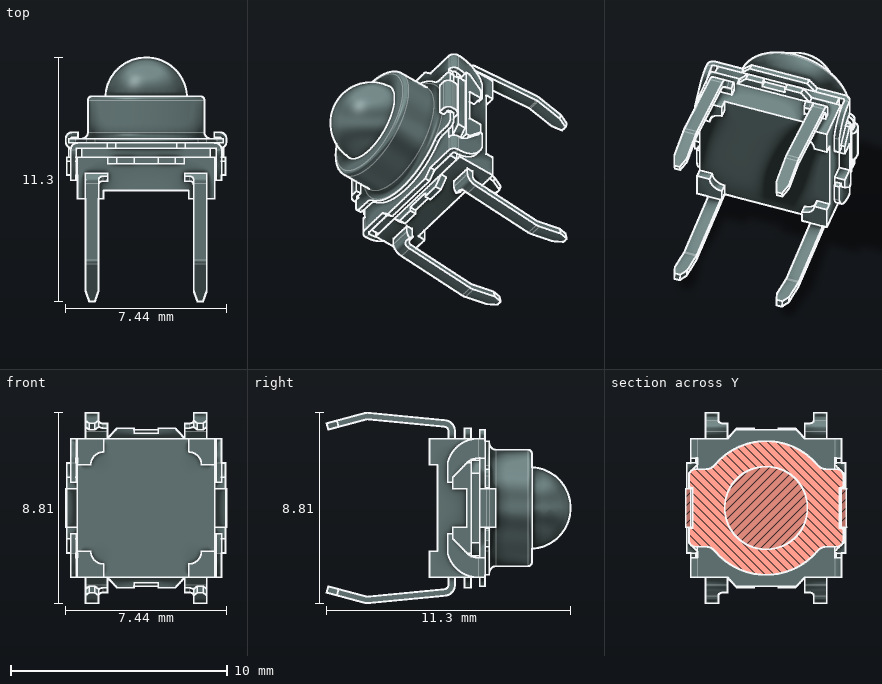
import cadquery as cq
import math


base_half_x = 3.18
base_half_z = 3.21
floor_y = 0.375
base_top = 1.93
foot_size = 1.22
foot_bite_radius = 0.6

side_lug_half_x = 3.68
side_lug_half_z = 2.09
side_lug_bottom = 1.09
side_lug_bridge_bottom = 1.74
side_lug_gap_half = 0.9
side_lug_slope_run = 0.67

end_lug_height = 0.31
end_lug_root_half = 1.77
end_lug_tip_half = 1.35
end_lug_z = 3.69
end_lug_notch_half = 0.56
end_lug_notch_z = 3.456

film_top = 2.33
film_half_x = 2.97
film_tab_half_x = 3.58
film_tab_half_z = 1.6
film_tab_chamfer = film_tab_half_x - film_half_x

sheet = 0.25
cover_top = film_top + sheet
bend_inner = 0.06
bend_outer = bend_inner + sheet
cover_tab_root_half = 1.8
cover_tab_tip_half = 1.41
cover_tab_z = 3.62

hook_x = base_half_x + bend_outer
hook_bend_end = cover_top - bend_outer
hook_inner_z = 2.3
hook_curve_end_z = 2.1
hook_bottom = 0.85
hook_end_z = 1.2

clip_half_z = 0.9
clip_half_x = 3.72
clip_top = 3.08
clip_tip_x = 3.14

flange_radius = 3.1
flange_thickness = 0.2
flange_top = cover_top + flange_thickness
ear_half_x = 3.57
ear_half_z = 1.8
ear_corner_radius = 0.3
ear_root_radius = 0.5
ear_slot_half_z = 0.93
ear_slot_x = 3.4
ear_slot_lip_radius = 0.1
collar_radius = 5.4 / 2
collar_top = 4.75
collar_edge_radius = 0.2
collar_flare_radius = 0.3

plunger_radius = 3.8 / 2
plunger_top = 6.54

lead_thickness = 0.31
lead_top = 1.19
lead_bend_inner = 0.2
lead_bend_outer = lead_bend_inner + lead_thickness
lead_bend_z = 3.553
lead_first_bend = 84.5
lead_second_bend = 20.5
lead_leg_length = 3.56
lead_end_length = 1.82
lead_center_x = 2.5
lead_width = 0.61
lead_root_width = 1.03
lead_embedded_length = 0.6
lead_step_angle = 45
lead_step_radius = 0.2
lead_tip_width = 0.27
lead_taper_length = 0.5

SIDES = (-1, 1)
CORNERS = [(sx, sz) for sx in SIDES for sz in SIDES]


def plan(y):
    """Workplane at height y that takes (x, z) and extrudes towards +Y."""
    return cq.Workplane(cq.Plane(origin=(0, y, 0), xDir=(0, 0, 1), normal=(0, 1, 0)))


def slab(points, y_bottom, y_top):
    """Prism between two heights with an outline of (x, z) points."""
    return plan(y_bottom).polyline([(z, x) for x, z in points]).close().extrude(y_top - y_bottom)


def block(x_range, y_range, z_range):
    """Box given by its lower and upper limit along each axis."""
    limits = (x_range, y_range, z_range)
    size = [high - low for low, high in limits]
    corner = tuple(low for low, high in limits)
    return cq.Workplane("XY").box(*size, centered=False).translate(corner)


def mirrored(shape, sx, sz):
    """Copy of a shape built at +X, +Z, moved to the given side of X and Z."""
    if sx < 0:
        shape = shape.mirror("YZ")
    if sz < 0:
        shape = shape.mirror("XY")
    return shape


def cylinder(radius, y_bottom, y_top):
    return plan(y_bottom).circle(radius).extrude(y_top - y_bottom)


def foot():
    inner_x = base_half_x - foot_size
    inner_z = base_half_z - foot_size
    pad = block((inner_x, base_half_x), (0, floor_y), (inner_z, base_half_z))
    bite = cylinder(foot_bite_radius, 0, floor_y).translate((inner_x, 0, inner_z))
    return pad.cut(bite)


def side_lug():
    leg_half_z = side_lug_half_z - side_lug_slope_run
    half = [
        (side_lug_bridge_bottom, side_lug_gap_half),
        (side_lug_bottom, side_lug_gap_half),
        (side_lug_bottom, leg_half_z),
        (side_lug_bridge_bottom, side_lug_half_z),
        (base_top, side_lug_half_z),
    ]
    outline = half + [(y, -z) for y, z in reversed(half)]
    depth = side_lug_half_x - base_half_x
    return cq.Workplane("YZ", origin=(base_half_x, 0, 0)).polyline(outline).close().extrude(depth)


def end_lug():
    half = [
        (end_lug_root_half, base_half_z),
        (end_lug_tip_half, end_lug_z),
        (end_lug_notch_half, end_lug_z),
        (end_lug_notch_half, end_lug_notch_z),
    ]
    outline = half + [(-x, z) for x, z in reversed(half)]
    return slab(outline, base_top - end_lug_height, base_top)


def make_base():
    base = block(
        (-base_half_x, base_half_x), (floor_y, base_top), (-base_half_z, base_half_z)
    )
    for sx, sz in CORNERS:
        base = base.union(mirrored(foot(), sx, sz))
    for side in SIDES:
        base = base.union(mirrored(side_lug(), side, 1))
        base = base.union(mirrored(end_lug(), 1, side))
    return base


def make_film():
    film = block((-film_half_x, film_half_x), (base_top, film_top), (-base_half_z, base_half_z))
    root_half_z = film_tab_half_z + film_tab_chamfer
    tabs = [
        (film_half_x, root_half_z),
        (film_tab_half_x, film_tab_half_z),
        (film_tab_half_x, -film_tab_half_z),
        (film_half_x, -root_half_z),
    ]
    outline = tabs + [(-x, -z) for x, z in tabs]
    return film.union(slab(outline, base_top, film_top))


def cover_tab():
    outline = [
        (cover_tab_root_half, base_half_z),
        (cover_tab_tip_half, cover_tab_z),
        (-cover_tab_tip_half, cover_tab_z),
        (-cover_tab_root_half, base_half_z),
    ]
    return slab(outline, film_top, cover_top)


def tangent_radius(run, drop):
    """Radius of an arc that starts level and falls by `drop` over a length of `run`."""
    return (run**2 + drop**2) / (2 * drop)


def hook():
    """Arm bent down beside the base, its inner edge resting on the side lug."""
    diagonal = math.sqrt(0.5)
    center_x = base_half_x
    center_y = hook_bend_end
    bend = (
        cq.Workplane("XY", origin=(0, 0, hook_inner_z))
        .moveTo(center_x, cover_top)
        .threePointArc(
            (center_x + diagonal * bend_outer, center_y + diagonal * bend_outer),
            (hook_x, center_y),
        )
        .lineTo(hook_x - sheet, center_y)
        .threePointArc(
            (center_x + diagonal * bend_inner, center_y + diagonal * bend_inner),
            (center_x, film_top),
        )
        .close()
        .extrude(base_half_z - hook_inner_z)
    )
    outer_radius = tangent_radius(
        hook_bend_end - hook_bottom, base_half_z - hook_curve_end_z
    )
    inner_radius = tangent_radius(
        hook_bend_end - side_lug_bridge_bottom, hook_inner_z - side_lug_half_z
    )
    arm = (
        cq.Workplane("YZ", origin=(hook_x - sheet, 0, 0))
        .moveTo(hook_bend_end, hook_inner_z)
        .lineTo(hook_bend_end, base_half_z)
        .radiusArc((hook_bottom, hook_curve_end_z), -outer_radius)
        .lineTo(hook_bottom, hook_end_z)
        .lineTo(side_lug_bottom, hook_end_z)
        .lineTo(side_lug_bottom, side_lug_half_z - side_lug_slope_run)
        .lineTo(side_lug_bridge_bottom, side_lug_half_z)
        .radiusArc((hook_bend_end, hook_inner_z), inner_radius)
        .close()
        .extrude(sheet)
    )
    return bend.union(arm)


def clip():
    """Strip that leaves the plate edge and curls back over the collar flange."""
    outer = block((clip_tip_x, clip_half_x), (film_top, clip_top), (-clip_half_z, clip_half_z))
    outer = outer.edges("|Z and >X").fillet(bend_outer)
    inner = block(
        (clip_tip_x - sheet, clip_half_x - sheet),
        (cover_top, clip_top - sheet),
        (-clip_half_z, clip_half_z),
    )
    inner = inner.edges("|Z and >X").fillet(bend_inner)
    return outer.cut(inner)


def make_cover():
    cover = block(
        (-base_half_x, base_half_x), (film_top, cover_top), (-base_half_z, base_half_z)
    )
    for side in SIDES:
        cover = cover.union(mirrored(cover_tab(), 1, side))
        cover = cover.union(mirrored(clip(), side, 1))
    for sx, sz in CORNERS:
        cover = cover.union(mirrored(hook(), sx, sz))
    return cover.cut(cylinder(plunger_radius, film_top, cover_top))


def flange():
    """Disc with an ear on each X side, blended into the disc and slotted for the clip."""
    ears = block(
        (-ear_half_x, ear_half_x), (cover_top, flange_top), (-ear_half_z, ear_half_z)
    )
    ears = ears.edges("|Y").fillet(ear_corner_radius)
    for side in SIDES:
        slot = block(
            (ear_slot_x, ear_half_x), (cover_top, flange_top), (-ear_slot_half_z, ear_slot_half_z)
        )
        ears = ears.cut(mirrored(slot, side, 1))
    reach = ear_slot_lip_radius / 2
    for side in SIDES:
        x = side * ear_half_x
        for z in (-ear_slot_half_z, ear_slot_half_z):
            near = cq.selectors.BoxSelector(
                (x - reach, cover_top, z - reach), (x + reach, flange_top, z + reach)
            )
            ears = ears.edges(near).edges("|Y").fillet(ear_slot_lip_radius)
    disc = cylinder(flange_radius, cover_top, flange_top).union(ears)

    center_z = ear_half_z + ear_root_radius
    center_distance = flange_radius + ear_root_radius
    center_x = math.sqrt(center_distance**2 - center_z**2)
    touch = flange_radius / center_distance
    wedge = slab(
        [
            (center_x * touch, center_z * touch),
            (center_x, center_z),
            (center_x, ear_half_z),
            (center_x * touch, ear_half_z),
        ],
        cover_top,
        flange_top,
    )
    round_cut = cylinder(ear_root_radius, cover_top, flange_top)
    blend = wedge.cut(round_cut.translate((center_x, 0, center_z)))
    for sx, sz in CORNERS:
        disc = disc.union(mirrored(blend, sx, sz))
    return disc


def make_collar():
    diagonal = math.sqrt(0.5)
    flare_radius = collar_radius + collar_flare_radius
    flare_y = flange_top + collar_flare_radius
    shoulder_radius = collar_radius - collar_edge_radius
    shoulder_y = collar_top - collar_edge_radius
    wall = (
        cq.Workplane("XY")
        .moveTo(plunger_radius, cover_top)
        .lineTo(flare_radius, cover_top)
        .lineTo(flare_radius, flange_top)
        .threePointArc(
            (
                flare_radius - diagonal * collar_flare_radius,
                flare_y - diagonal * collar_flare_radius,
            ),
            (collar_radius, flare_y),
        )
        .lineTo(collar_radius, shoulder_y)
        .threePointArc(
            (
                shoulder_radius + diagonal * collar_edge_radius,
                shoulder_y + diagonal * collar_edge_radius,
            ),
            (shoulder_radius, collar_top),
        )
        .lineTo(plunger_radius, collar_top)
        .close()
        .revolve(360, (0, 0, 0), (0, 1, 0))
    )
    bore = cylinder(plunger_radius, cover_top, flange_top)
    return wall.union(flange().cut(bore))


def make_plunger():
    """Round shaft with a hemispherical top, passing through the cover and the collar."""
    dome_y = plunger_top - plunger_radius
    diagonal = math.sqrt(0.5) * plunger_radius
    return (
        cq.Workplane("XY")
        .moveTo(0, film_top)
        .lineTo(plunger_radius, film_top)
        .lineTo(plunger_radius, dome_y)
        .threePointArc((diagonal, dome_y + diagonal), (0, plunger_top))
        .close()
        .revolve(360, (0, 0, 0), (0, 1, 0))
    )


def polar(center, radius, angle):
    """Point (y, z) on a circle, the angle in degrees from +Y towards +Z."""
    turn = math.radians(angle)
    return (center[0] + radius * math.cos(turn), center[1] + radius * math.sin(turn))


def make_terminal():
    """Bent strip at +X, +Z that leaves the base along +Z and turns towards -Y."""
    end_angle = lead_first_bend + lead_second_bend
    first = (lead_top - lead_bend_outer, lead_bend_z)
    second = polar(first, lead_leg_length, lead_first_bend + 90)
    end = polar(second, lead_end_length, end_angle + 90)
    first_mid = lead_first_bend / 2
    second_mid = lead_first_bend + lead_second_bend / 2
    outer = lead_bend_outer
    inner = lead_bend_inner
    start_z = base_half_z - lead_embedded_length

    edge_x = lead_center_x + lead_width / 2
    root_x = edge_x - lead_root_width
    step_x = edge_x - lead_width
    strip = (
        cq.Workplane("YZ", origin=(root_x, 0, 0))
        .moveTo(lead_top, start_z)
        .lineTo(*polar(first, outer, 0))
        .threePointArc(polar(first, outer, first_mid), polar(first, outer, lead_first_bend))
        .lineTo(*polar(second, outer, lead_first_bend))
        .threePointArc(polar(second, outer, second_mid), polar(second, outer, end_angle))
        .lineTo(*polar(end, outer, end_angle))
        .lineTo(*polar(end, inner, end_angle))
        .lineTo(*polar(second, inner, end_angle))
        .threePointArc(polar(second, inner, second_mid), polar(second, inner, lead_first_bend))
        .lineTo(*polar(first, inner, lead_first_bend))
        .threePointArc(polar(first, inner, first_mid), polar(first, inner, 0))
        .lineTo(lead_top - lead_thickness, start_z)
        .close()
        .extrude(lead_root_width)
    )

    def across(center, angle):
        """Workplane facing out of the strip: local x is X, local y runs back along the strip."""
        normal = polar((0, 0), 1, angle)
        origin = (0, center[0], center[1])
        return cq.Workplane(cq.Plane(origin=origin, xDir=(1, 0, 0), normal=(0, *normal)))

    reach = lead_leg_length + lead_end_length
    step = (
        across(first, lead_step_angle)
        .moveTo(root_x, 0)
        .lineTo(step_x - lead_step_radius, 0)
        .radiusArc((step_x, -lead_step_radius), lead_step_radius)
        .lineTo(step_x, -reach)
        .lineTo(root_x, -reach)
        .close()
        .extrude(reach, both=True)
    )

    half_width = lead_width / 2
    half_tip = lead_tip_width / 2
    terminal = strip.cut(step)
    for side in SIDES:
        taper = (
            across(end, end_angle)
            .moveTo(lead_center_x + side * half_width, lead_taper_length)
            .lineTo(lead_center_x + side * half_tip, 0)
            .lineTo(lead_center_x + side * half_width, 0)
            .close()
            .extrude(lead_bend_outer)
        )
        terminal = terminal.cut(taper)
    return terminal


film = make_film()
cover = make_cover()
collar = make_collar()
plunger = make_plunger()
terminals = [mirrored(make_terminal(), sx, sz) for sx, sz in CORNERS]

base = make_base()
for terminal in terminals:
    base = base.cut(terminal)

result = cq.Compound.makeCompound(
    [
        base.val(),
        film.val(),
        cover.val(),
        collar.val(),
        plunger.val(),
        *[terminal.val() for terminal in terminals],
    ]
)